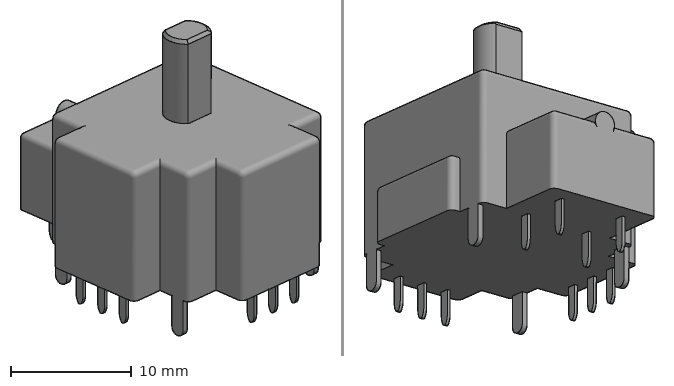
import cadquery as cq
import math


edge_radius = 0.5
housing_half = 8.0
housing_height = 11.95
lobe_x_reach = 11.03
lobe_y_reach = 11.05
lobe_half_width = 4.72

pad_reach = 9.0
pad_half_width = 5.02
pad_height = 4.97

switch_reach = 14.22
switch_half_width = 5.48
switch_height = 7.02
plunger_radius = 1.0

shaft_top = 19.65
shaft_radius = 2.02
shaft_flat_half = 1.5
shaft_chamfer_height = 0.23
shaft_chamfer_width = 0.33

pin_width = 0.8
pin_thickness = 0.3
pin_shoulder_depth = 2.2
pin_flank_height = 0.73
pin_nose_half_width = 0.19
pin_pitch = 2.5
lobe_pin_offset = 10.0
switch_pin_center_x = -10.0
switch_pin_half_x = 2.25
switch_pin_half_y = 3.23

leg_width = 1.31
leg_thickness = edge_radius
leg_shoulder_depth = 2.8
leg_offset_x = 6.75
leg_offset_y = housing_half - leg_thickness / 2


def rounded_block(x_min, x_max, y_min, y_max, height):
    """Block standing on Z = 0 with every edge rounded except those of its base."""
    block = cq.Workplane("XY").box(x_max - x_min, y_max - y_min, height, centered=False)
    block = block.edges("|Z or >Z").fillet(edge_radius)
    return block.translate((x_min, y_min, 0))


def make_housing():
    """Square body with one lobe on +X, one on -Y and a low pad on +Y.

    The lobes and the pad start on the shaft axis so that their inner ends lie inside the body.
    """
    body = rounded_block(-housing_half, housing_half, -housing_half, housing_half, housing_height)
    lobe_x = rounded_block(0, lobe_x_reach, -lobe_half_width, lobe_half_width, housing_height)
    lobe_y = rounded_block(-lobe_half_width, lobe_half_width, -lobe_y_reach, 0, housing_height)
    pad = rounded_block(-pad_half_width, pad_half_width, 0, pad_reach, pad_height)
    return body.union(lobe_x).union(lobe_y).union(pad)


def make_switch():
    """Switch block on the -X side with a round plunger rib along its top."""
    block = rounded_block(-switch_reach, 0, -switch_half_width, switch_half_width, switch_height)
    rib = (
        cq.Workplane("YZ", origin=(-switch_reach, 0, 0))
        .center(0, switch_height)
        .circle(plunger_radius)
        .extrude(switch_reach)
    )
    return block.union(rib)


def make_shaft():
    """Round shaft with flats facing -X and +X and a chamfered top end."""
    shaft = cq.Workplane("XY").circle(shaft_radius).extrude(shaft_top)
    flats = cq.Workplane("XY").box(
        2 * shaft_flat_half, 2 * shaft_radius, shaft_top, centered=(True, True, False)
    )
    shaft = shaft.intersect(flats)
    top_edges = shaft.faces(">Z").edges()
    return top_edges.chamfer(shaft_chamfer_height, shaft_chamfer_width)


def make_pin(x, y):
    """Flat pin hanging below Z = 0; two curved flanks run smoothly into a round nose."""
    half_width = pin_width / 2
    flank_end_depth = pin_shoulder_depth + pin_flank_height
    flank_turn = 2 * math.atan((half_width - pin_nose_half_width) / pin_flank_height)
    nose_height = pin_nose_half_width * math.tan((math.pi / 2 - flank_turn) / 2)
    return (
        cq.Workplane("XZ", origin=(x, y, 0))
        .lineTo(half_width, 0)
        .lineTo(half_width, -pin_shoulder_depth)
        .tangentArcPoint((pin_nose_half_width, -flank_end_depth), relative=False)
        .tangentArcPoint((0, -flank_end_depth - nose_height), relative=False)
        .mirrorY()
        .extrude(pin_thickness / 2, both=True)
    )


def make_leg(x, y):
    """Flat leg hanging below Z = 0 with a half-round end."""
    half_width = leg_width / 2
    return (
        cq.Workplane("XZ", origin=(x, y, 0))
        .moveTo(-half_width, 0)
        .lineTo(half_width, 0)
        .lineTo(half_width, -leg_shoulder_depth)
        .threePointArc((0, -leg_shoulder_depth - half_width), (-half_width, -leg_shoulder_depth))
        .close()
        .extrude(leg_thickness / 2, both=True)
    )


def pin_positions():
    """Three pins under each lobe and four under the switch."""
    positions = []
    for step in (-1, 0, 1):
        positions.append((lobe_pin_offset, step * pin_pitch))
        positions.append((step * pin_pitch, -lobe_pin_offset))
    for side_x in (-1, 1):
        for side_y in (-1, 1):
            pin_x = switch_pin_center_x + side_x * switch_pin_half_x
            positions.append((pin_x, side_y * switch_pin_half_y))
    return positions


result = make_housing().union(make_switch()).union(make_shaft())

for pin_x, pin_y in pin_positions():
    result = result.union(make_pin(pin_x, pin_y))

for side_x in (-1, 1):
    for side_y in (-1, 1):
        result = result.union(make_leg(side_x * leg_offset_x, side_y * leg_offset_y))